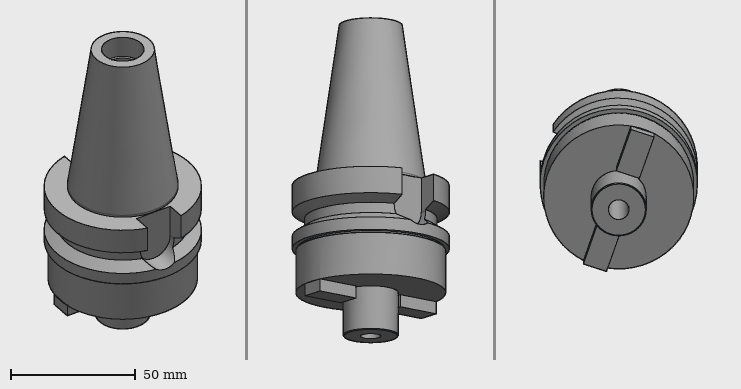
import cadquery as cq

total_height = 128.4
pilot_length = 18.0
relief_bottom = 35.3
flange_bottom = 36.1
lower_rim_top = 41.2
groove_floor_bottom = 44.3
groove_floor_top = 48.5
upper_rim_bottom = 51.2
flange_top = 62.1
taper_start = 63.0

pilot_radius = 11.0
pilot_chamfer = 0.4
body_radius = 30.0
relief_radius = 29.5
flange_radius = 31.52
groove_radius = 26.6
taper_large_radius = 22.2
taper_small_radius = 12.7

through_hole_radius = 4.1
counterbores = [(8.5, 9.2), (7.3, 28.2), (6.0, 38.5)]

slot_width = 16.0
slot_bottom = 39.9
slot_floor_distance = 22.5

key_width = 9.8
key_height = 5.0
key_inner_distance = 11.4
key_outer_distance = 29.7


def turned_body():
    """Revolve the half profile of pilot, body, grooved flange and taper."""
    profile = [
        (0, 0),
        (pilot_radius - pilot_chamfer, 0),
        (pilot_radius, pilot_chamfer),
        (pilot_radius, pilot_length),
        (body_radius, pilot_length),
        (body_radius, relief_bottom),
        (relief_radius, relief_bottom),
        (relief_radius, flange_bottom),
        (flange_radius, flange_bottom),
        (flange_radius, lower_rim_top),
        (groove_radius, groove_floor_bottom),
        (groove_radius, groove_floor_top),
        (flange_radius, upper_rim_bottom),
        (flange_radius, flange_top),
        (taper_large_radius, flange_top),
        (taper_large_radius, taper_start),
        (taper_small_radius, total_height),
        (0, total_height),
    ]
    return cq.Workplane("XZ").polyline(profile).close().revolve(360, (0, 0), (0, 1))


def stepped_bore():
    """Through hole with counterbores of decreasing radius from the taper's end."""
    bore = cq.Workplane("XY").circle(through_hole_radius).extrude(total_height)
    for radius, depth in counterbores:
        step = cq.Workplane("XY").workplane(offset=total_height - depth).circle(radius).extrude(depth)
        bore = bore.union(step)
    return bore


def drive_slot(side):
    """Round-ended slot, open at the flange's top, on the +X or -X side."""
    slot_radius = slot_width / 2
    arc_center = slot_bottom + slot_radius
    return (
        cq.Workplane("YZ")
        .workplane(offset=side * slot_floor_distance)
        .moveTo(-slot_radius, flange_top)
        .lineTo(-slot_radius, arc_center)
        .threePointArc((0, slot_bottom), (slot_radius, arc_center))
        .lineTo(slot_radius, flange_top)
        .close()
        .extrude(side * flange_radius)
    )


def drive_key(side):
    """Rectangular key under the body, on the +Y or -Y side."""
    key_length = key_outer_distance - key_inner_distance
    key_center = side * (key_inner_distance + key_outer_distance) / 2
    return (
        cq.Workplane("XY")
        .workplane(offset=pilot_length - key_height)
        .center(0, key_center)
        .rect(key_width, key_length)
        .extrude(key_height)
    )


result = turned_body().cut(stepped_bore())
for side in (-1, 1):
    result = result.cut(drive_slot(side)).union(drive_key(side))